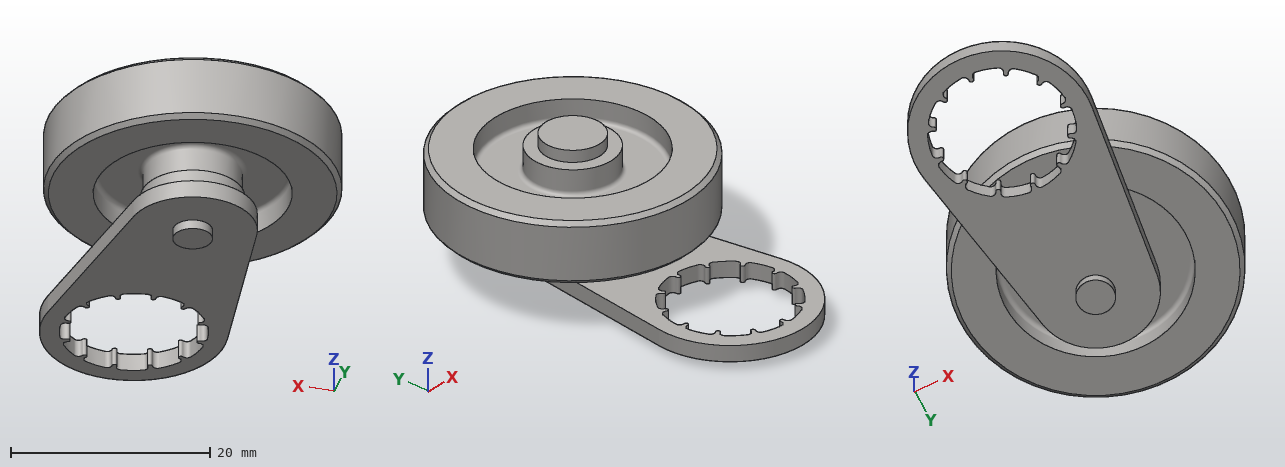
import cadquery as cq
import math

arm_thickness = 1.9
spacer_height = 2.0
hub_height = 8.0
hub_bottom = arm_thickness + spacer_height
hub_top = hub_bottom + hub_height

roller_radius = 15.0
rim_width = 7.2
rim_chamfer = 0.5
recess_radius = 10.0
recess_depth = 2.6
recess_fillet = 0.5
hub_radius = 5.0
rim_middle = (hub_bottom + hub_top) / 2
rim_bottom = rim_middle - rim_width / 2
rim_top = rim_middle + rim_width / 2

spacer_radius = 5.25

shank_radius = 2.0
head_radius = 3.5
head_height = 1.4
screw_tail = 1.0

pivot_end_radius = 6.5
ring_end_radius = 9.5
arm_length = 20.8

ring_hole_radius = 7.5
tooth_count = 12
tooth_tip_radius = 0.25
tooth_height = 0.9
tooth_root_fillet = 0.5
tooth_root_overlap = 0.5


def make_roller():
    """Wheel with a recess around the hub on both faces, bored for the shank."""
    rim = (
        cq.Workplane("XY", origin=(0, 0, rim_bottom))
        .circle(roller_radius)
        .extrude(rim_width)
        .edges()
        .chamfer(rim_chamfer)
    )
    upper_recess = (
        cq.Workplane("XY", origin=(0, 0, rim_top - recess_depth))
        .circle(recess_radius)
        .circle(hub_radius)
        .extrude(recess_depth)
        .faces("<Z")
        .edges()
        .fillet(recess_fillet)
    )
    lower_recess = upper_recess.mirror("XY", (0, 0, rim_middle))
    hub = cq.Workplane("XY", origin=(0, 0, hub_bottom)).circle(hub_radius).extrude(hub_height)
    bore = cq.Workplane("XY", origin=(0, 0, hub_bottom)).circle(shank_radius).extrude(hub_height)
    return rim.cut(upper_recess).cut(lower_recess).union(hub).cut(bore)


def make_spacer():
    """Plain ring carried on the shank."""
    return (
        cq.Workplane("XY", origin=(0, 0, arm_thickness))
        .circle(spacer_radius)
        .circle(shank_radius)
        .extrude(spacer_height)
    )


def make_screw():
    """Shank through the whole stack, with a flat round head on top of the hub."""
    shank = cq.Workplane("XY", origin=(0, 0, -screw_tail)).circle(shank_radius).extrude(screw_tail + hub_top)
    head = cq.Workplane("XY", origin=(0, 0, hub_top)).circle(head_radius).extrude(head_height)
    return shank.union(head)


def make_toothed_hole():
    """Round cutter, centred on the origin, notched where the teeth stay behind."""
    cutter = cq.Workplane("XY").circle(ring_hole_radius).extrude(arm_thickness)
    tip_centre = ring_hole_radius - tooth_height + tooth_tip_radius
    tooth_root = ring_hole_radius + tooth_root_overlap
    tooth = (
        cq.Workplane("XY")
        .moveTo(tooth_root, -tooth_tip_radius)
        .lineTo(tip_centre, -tooth_tip_radius)
        .threePointArc((tip_centre - tooth_tip_radius, 0), (tip_centre, tooth_tip_radius))
        .lineTo(tooth_root, tooth_tip_radius)
        .close()
        .extrude(arm_thickness)
    )
    for index in range(tooth_count):
        cutter = cutter.cut(tooth.rotate((0, 0, 0), (0, 0, 1), index * 360 / tooth_count))

    def is_tooth_root(edge):
        centre = edge.Center()
        return math.isclose(math.hypot(centre.x, centre.y), ring_hole_radius, rel_tol=1e-6)

    return cutter.edges("|Z").filter(is_tooth_root).fillet(tooth_root_fillet)


def make_arm():
    """Flat tapered lever: screw hole at one end, toothed hole at the other."""
    slope = (ring_end_radius - pivot_end_radius) / arm_length
    spread = math.sqrt(1 - slope**2)
    pivot_x, pivot_y = pivot_end_radius * spread, pivot_end_radius * slope
    ring_x, ring_y = ring_end_radius * spread, ring_end_radius * slope - arm_length
    plate = (
        cq.Workplane("XY")
        .moveTo(pivot_x, pivot_y)
        .threePointArc((0, pivot_end_radius), (-pivot_x, pivot_y))
        .lineTo(-ring_x, ring_y)
        .threePointArc((0, -arm_length - ring_end_radius), (ring_x, ring_y))
        .close()
        .extrude(arm_thickness)
    )
    screw_hole = cq.Workplane("XY").circle(shank_radius).extrude(arm_thickness)
    return plate.cut(screw_hole).cut(make_toothed_hole().translate((0, -arm_length, 0)))


arm = make_arm()
spacer = make_spacer()
roller = make_roller()
screw = make_screw()

result = cq.Compound.makeCompound([arm.val(), spacer.val(), roller.val(), screw.val()])